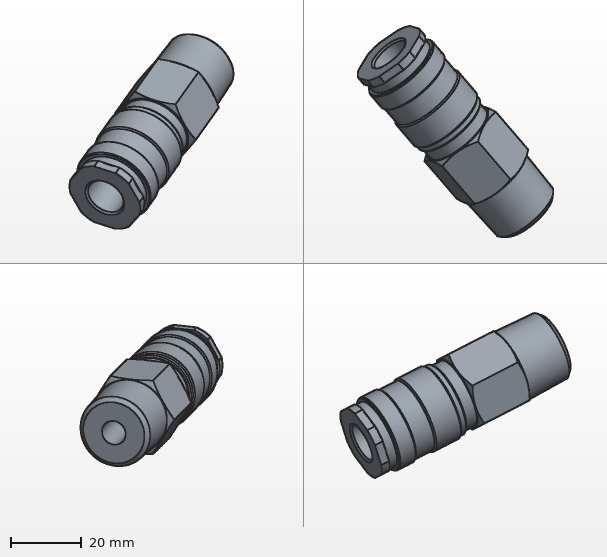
import cadquery as cq
import math

length = 64.0

neck_radius = 10.4
ring_radius = 11.1
band_radius = 11.5
thread_tip_radius = 9.1
thread_start_radius = 10.4
thread_taper = 1 / 32

collar_end = 2.6
front_band_start = 5.5
front_band_end = 11.4
rear_band_start = 17.5
rear_band_end = 26.4
ring_end = 28.4
hex_start = 32.0
hex_end = 49.15
thread_start = 62.7
edge_bevel = 0.45
front_bevel = 0.25
ring_bevel = 0.45

hex_corner_diameter = 25.4
hex_bevel_radius = 10.9
hex_bevel_angle = 30.0
collar_flat_distance = 21.1

socket_diameter = 11.1
socket_depth = hex_start
socket_bevel = 0.6
passage_diameter = 7.05


def revolve_outline(points):
    """Revolve (radius, Y) points, closed along the axis, about Y."""
    outline = [(0, points[0][1])] + points + [(0, points[-1][1])]
    return cq.Workplane("XY").polyline(outline).close().revolve(360, (0, 0, 0), (0, 1, 0))


def hexagonal_prism(corner_diameter, start, end):
    """Hexagonal prism along Y with two corners on the X axis."""
    plane = cq.Workplane("XZ", origin=(0, start, 0))
    return plane.polygon(6, corner_diameter).extrude(start - end)


def cylinder(diameter, start, end):
    return cq.Workplane("XZ", origin=(0, start, 0)).circle(diameter / 2).extrude(start - end)


def make_sleeve():
    return revolve_outline([
        (neck_radius, collar_end),
        (neck_radius, front_band_start),
        (band_radius - front_bevel, front_band_start),
        (band_radius, front_band_start + edge_bevel),
        (band_radius, front_band_end - edge_bevel),
        (ring_radius, front_band_end),
        (ring_radius, rear_band_start),
        (band_radius, rear_band_start + edge_bevel),
        (band_radius, rear_band_end - edge_bevel),
        (ring_radius, rear_band_end),
        (ring_radius, ring_end - edge_bevel),
        (ring_radius - ring_bevel, ring_end),
        (neck_radius, ring_end),
        (neck_radius, hex_start),
    ])


def make_collar():
    """Round collar with six flats."""
    flats = hexagonal_prism(collar_flat_distance / math.cos(math.pi / 6), 0, collar_end)
    return cylinder(2 * ring_radius, 0, collar_end).intersect(flats)


def make_hexagon():
    """Wrench hexagon with its corners bevelled at both ends."""
    corner_radius = hex_corner_diameter / 2
    rise = (corner_radius - hex_bevel_radius) * math.tan(math.radians(hex_bevel_angle))
    envelope = revolve_outline([
        (hex_bevel_radius, hex_start),
        (corner_radius, hex_start + rise),
        (corner_radius, hex_end - rise),
        (hex_bevel_radius, hex_end),
    ])
    return hexagonal_prism(hex_corner_diameter, hex_start, hex_end).intersect(envelope)


def make_tapered_end():
    """Tapered thread blank with a bevelled tip."""
    base_radius = thread_start_radius + (thread_start - hex_end) * thread_taper
    return revolve_outline([
        (base_radius, hex_end),
        (thread_start_radius, thread_start),
        (thread_tip_radius, length),
    ])


def make_bore():
    socket_radius = socket_diameter / 2
    socket = revolve_outline([
        (socket_radius + socket_bevel, 0),
        (socket_radius, socket_bevel),
        (socket_radius, socket_depth),
    ])
    return socket.union(cylinder(passage_diameter, 0, length))


body = make_sleeve().union(make_collar()).union(make_hexagon()).union(make_tapered_end())
result = body.cut(make_bore())